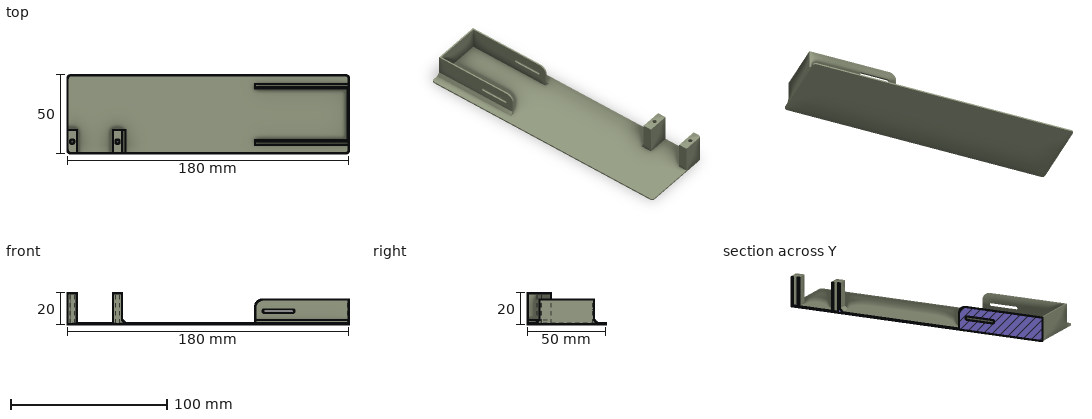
import cadquery as cq

plate_length = 180.0
plate_width = 50.0
plate_thickness = 1.0
plate_corner_radius = 2.0

overall_height = 20.0
post_length = 6.0
post_width = 15.0
post_spacing = 29.0
post_chamfer = 2.0
post_hole_diameter = 2.8

tray_length = 60.0
tray_width = 35.0
tray_wall = 1.0
tray_height = 15.0
tray_corner_radius = 5.0
tray_chamfer = 2.0

slot_length = 20.0
slot_height = 2.0
slot_end_gap = 5.0

post_height = overall_height - plate_thickness
tray_start = plate_length - tray_length
tray_front = (plate_width - tray_width) / 2
tray_back = tray_front + tray_width
tray_top = plate_thickness + tray_height
slot_center_x = tray_start + slot_end_gap + slot_length / 2
slot_center_z = plate_thickness + tray_height / 2


def box_at(x, y, z, length, width, height):
    """Box with its lowest corner at (x, y, z)."""
    return cq.Workplane("XY").box(length, width, height, centered=False).translate((x, y, z))


def rounded_block(height):
    """Block with the plate's outline and rounded vertical edges."""
    block = box_at(0, 0, 0, plate_length, plate_width, height)
    return block.edges("|Z").fillet(plate_corner_radius)


def post(x):
    """Plain post standing on the plate, flush with its front edge."""
    return box_at(x, 0, plate_thickness, post_length, post_width, post_height)


def post_hole(x):
    """Blind hole from the top of a post down to the plate surface."""
    return (
        cq.Workplane("XY", origin=(x + post_length / 2, post_width / 2, plate_thickness))
        .circle(post_hole_diameter / 2)
        .extrude(post_height)
    )


def post_foot():
    """Sloped foot on the right side of the inner post."""
    return (
        cq.Workplane("XZ", origin=(post_spacing + post_length, 0, plate_thickness))
        .polyline([(0, 0), (post_chamfer, 0), (0, post_chamfer)])
        .close()
        .extrude(-post_width)
    )


def tray_walls():
    """Two side walls and an end wall, with the free upper corners rounded."""
    block = box_at(tray_start, tray_front, plate_thickness, tray_length, tray_width, tray_height)
    block = block.edges("<X and >Z").fillet(tray_corner_radius)
    cavity = box_at(
        tray_start,
        tray_front + tray_wall,
        plate_thickness,
        tray_length - tray_wall,
        tray_width - 2 * tray_wall,
        tray_height,
    )
    return block.cut(cavity)


def tray_foot(wall_y, outward):
    """Sloped foot along the outside of a side wall; outward is +1 or -1 along Y."""
    return (
        cq.Workplane("YZ", origin=(tray_start, wall_y, plate_thickness))
        .polyline([(0, 0), (outward * tray_chamfer, 0), (0, tray_chamfer)])
        .close()
        .extrude(tray_length)
    )


def tray_slot():
    """Round-ended slot crossing both side walls."""
    return (
        cq.Workplane("XZ", origin=(slot_center_x, 0, slot_center_z))
        .slot2D(slot_length, slot_height)
        .extrude(-plate_width)
    )


outer_post = post(0).intersect(rounded_block(overall_height))
inner_post = post(post_spacing).union(post_foot())

tray = tray_walls().cut(tray_slot())
tray = tray.union(tray_foot(tray_front, -1)).union(tray_foot(tray_back, 1))

result = rounded_block(plate_thickness).union(outer_post).union(inner_post).union(tray)
for post_x in (0, post_spacing):
    result = result.cut(post_hole(post_x))